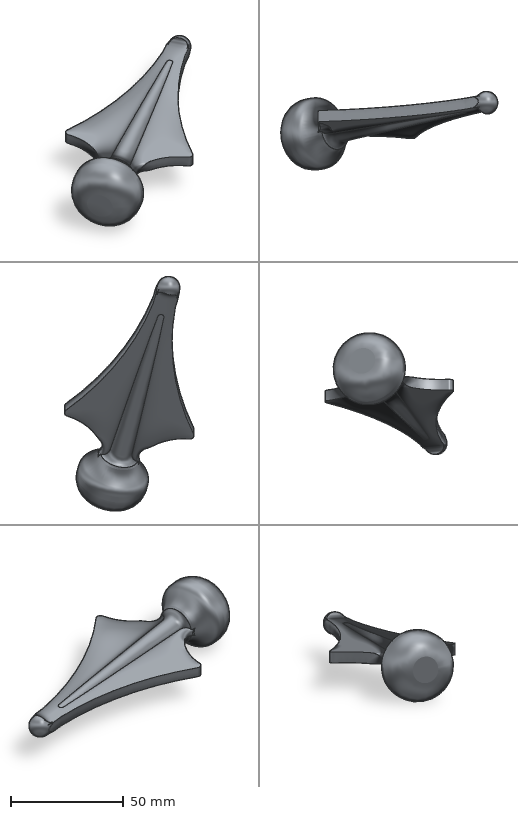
import cadquery as cq
import math


overall_length = 125.2

knob_radius = 16.0
knob_base_fillet = 10.0
knob_band_length = 3.0
knob_shoulder_radius = 5.0
knob_flat_radius = knob_radius - knob_base_fillet
band_end_y = knob_base_fillet + knob_band_length

cove_radius = 14.5
cove_center_r = 22.7
rim_y = 23.2
shoulder_center_r = knob_radius - knob_shoulder_radius
cove_offset_r = cove_center_r - shoulder_center_r
cove_reach = cove_radius + knob_shoulder_radius
cove_offset_y = math.sqrt(cove_reach**2 - cove_offset_r**2)
cove_center_y = band_end_y + cove_offset_y
rim_radius = cove_center_r - math.sqrt(cove_radius**2 - (cove_center_y - rim_y)**2)

collar_radius = 8.6
collar_y = 24.3

spine_start_y = 28.5
spine_start_radius = 5.6
spine_end_y = 105.3
spine_end_radius = 2.85

blade_thickness = 5.0
half_thickness = blade_thickness / 2
tip_half_width = 5.1
flank_start_y = 111.8
flank_radius = 136.5
hollow_radius = 25.2
hollow_center_x = 31.07
hollow_center_y = 17.05
wing_corner_x = 31.23
wing_fillet = 2.0
neck_half_width = 8.5
neck_radius = 5.2

ball_radius = tip_half_width
ball_center_y = overall_length - ball_radius
ball_fillet = 3.0
ball_fillet_start_y = ball_center_y - ball_fillet

neck_center_x = neck_half_width + neck_radius
center_gap = hollow_radius - neck_radius
neck_center_y = hollow_center_y + math.sqrt(center_gap**2 - (hollow_center_x - neck_center_x)**2)


def point_on_arc(center, toward, radius):
    """Point at the given distance from the center, in the direction of another point."""
    dx = toward[0] - center[0]
    dy = toward[1] - center[1]
    distance = math.hypot(dx, dy)
    return (center[0] + radius * dx / distance, center[1] + radius * dy / distance)


def middle(first, second):
    """Midpoint of two points."""
    return ((first[0] + second[0]) / 2, (first[1] + second[1]) / 2)


def turn(profile):
    """Revolve a closed (radius, Y) profile about the Y axis."""
    return profile.close().revolve(360, (0, 0, 0), (0, 1, 0))


def make_knob_and_spine():
    base_center = (knob_flat_radius, knob_base_fillet)
    shoulder_center = (shoulder_center_r, band_end_y)
    cove_center = (cove_center_r, cove_center_y)
    band_start = (knob_radius, knob_base_fillet)
    band_end = (knob_radius, band_end_y)
    cove_start = point_on_arc(shoulder_center, cove_center, knob_shoulder_radius)
    rim = (rim_radius, rim_y)
    collar = (collar_radius, collar_y)
    spine_start = (spine_start_radius, spine_start_y)

    blend_dr = collar_radius - spine_start_radius
    blend_dy = spine_start_y - collar_y
    blend_radius = (blend_dr**2 + blend_dy**2) / (2 * blend_dr)
    blend_center = (spine_start_radius + blend_radius, spine_start_y)

    base_mid = point_on_arc(base_center, (knob_radius, 0), knob_base_fillet)
    shoulder_mid = point_on_arc(shoulder_center, middle(band_end, cove_start), knob_shoulder_radius)
    cove_mid = point_on_arc(cove_center, middle(cove_start, rim), cove_radius)
    blend_mid = point_on_arc(blend_center, middle(collar, spine_start), blend_radius)
    dome_mid = point_on_arc(
        (0, spine_end_y), (spine_end_radius, spine_end_y + spine_end_radius), spine_end_radius
    )
    return turn(
        cq.Workplane("XY")
        .lineTo(knob_flat_radius, 0)
        .threePointArc(base_mid, band_start)
        .lineTo(*band_end)
        .threePointArc(shoulder_mid, cove_start)
        .threePointArc(cove_mid, rim)
        .lineTo(*collar)
        .threePointArc(blend_mid, spine_start)
        .lineTo(spine_end_radius, spine_end_y)
        .threePointArc(dome_mid, (0, spine_end_y + spine_end_radius))
    )


def make_half_blade():
    """The +X half of the flat blade, up to where it starts blending into the ball."""
    hollow_center = (hollow_center_x, hollow_center_y)
    neck_center = (neck_center_x, neck_center_y)
    rise = math.sqrt(hollow_radius**2 - (wing_corner_x - hollow_center_x)**2)
    wing_corner = (wing_corner_x, hollow_center_y + rise)
    hollow_end = point_on_arc(hollow_center, neck_center, hollow_radius)
    hollow_mid = point_on_arc(hollow_center, middle(wing_corner, hollow_end), hollow_radius)
    neck_drop = math.sqrt(neck_radius**2 - (neck_center_x - rim_radius)**2)
    neck_end = (rim_radius, neck_center_y - neck_drop)

    blade = (
        cq.Workplane("XY", origin=(0, 0, -half_thickness))
        .moveTo(0, band_end_y)
        .lineTo(0, ball_fillet_start_y)
        .lineTo(tip_half_width, ball_fillet_start_y)
        .lineTo(tip_half_width, flank_start_y)
        .radiusArc(wing_corner, -flank_radius)
        .threePointArc(hollow_mid, hollow_end)
        .threePointArc((neck_half_width, neck_center_y), neck_end)
        .lineTo(rim_radius, band_end_y)
        .close()
        .extrude(blade_thickness)
    )
    return blade.edges("|Z").edges(">X").fillet(wing_fillet).cut(make_neck_rounding())


def make_neck_rounding():
    """Spool-shaped cutter that gives the blade a full round edge along the neck arc."""
    spool_radius = neck_radius + half_thickness
    return (
        cq.Workplane("XZ", origin=(neck_center_x, neck_center_y, 0))
        .moveTo(0, -half_thickness)
        .lineTo(spool_radius, -half_thickness)
        .threePointArc((neck_radius, 0), (spool_radius, half_thickness))
        .lineTo(0, half_thickness)
        .close()
        .revolve(360, (0, 0, 0), (0, 1, 0))
    )


def make_ball():
    """Half ball with its flat side facing the blade."""
    arc_mid = point_on_arc((0, ball_center_y), (ball_radius, overall_length), ball_radius)
    return turn(
        cq.Workplane("XY")
        .moveTo(0, ball_center_y)
        .lineTo(ball_radius, ball_center_y)
        .threePointArc(arc_mid, (0, overall_length))
    )


def make_ball_neck():
    """Blade end whose corners taper into the ball's rim."""
    corner_radius = math.hypot(tip_half_width, half_thickness)
    end_block = cq.Workplane("XY").box(
        2 * tip_half_width, ball_fillet, blade_thickness
    ).translate((0, ball_center_y - ball_fillet / 2, 0))
    cone = turn(
        cq.Workplane("XY")
        .moveTo(0, ball_fillet_start_y)
        .lineTo(corner_radius, ball_fillet_start_y)
        .lineTo(ball_radius, ball_center_y)
        .lineTo(0, ball_center_y)
    )
    return end_block.intersect(cone)


def make_ball_fillets():
    """Concave ramps from both blade faces up to the ball, trimmed to the ball's rim."""
    top = half_thickness + ball_fillet
    arc_center = (ball_fillet_start_y, top)
    arc_mid = point_on_arc(arc_center, (ball_center_y, half_thickness), ball_fillet)
    ramps = (
        cq.Workplane("YZ", origin=(-ball_radius, 0, 0))
        .moveTo(ball_fillet_start_y, 0)
        .lineTo(ball_fillet_start_y, half_thickness)
        .threePointArc(arc_mid, (ball_center_y, top))
        .lineTo(ball_center_y, 0)
        .close()
        .extrude(2 * ball_radius)
    )
    ramps = ramps.union(ramps.mirror("XY"))
    rim_cylinder = turn(
        cq.Workplane("XY")
        .moveTo(0, ball_fillet_start_y)
        .lineTo(ball_radius, ball_fillet_start_y)
        .lineTo(ball_radius, ball_center_y)
        .lineTo(0, ball_center_y)
    )
    return ramps.intersect(rim_cylinder)


half_blade = make_half_blade()
blade = half_blade.union(half_blade.mirror("YZ"))
ball_end = make_ball().union(make_ball_neck()).union(make_ball_fillets())
result = blade.union(make_knob_and_spine()).union(ball_end)